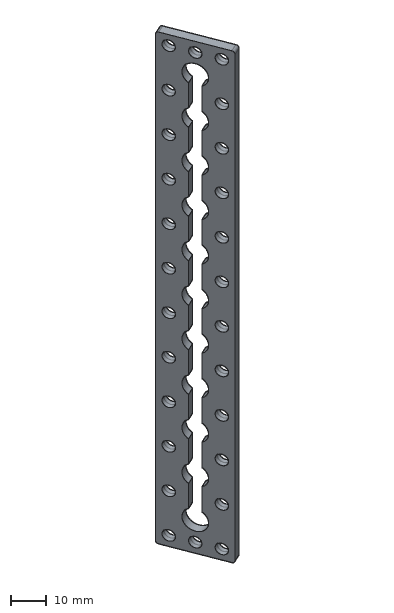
import cadquery as cq

pitch = 16.0
rows = 12
edge_margin = 4.0
thickness = 3.0
corner_radius = 1.0
small_hole_diameter = 4.0
large_hole_diameter = 8.0
slot_width = 4.0

width = pitch + 2 * edge_margin
length = (rows - 1) * pitch + 2 * edge_margin
large_holes = rows - 1
row_heights = [(i - (rows - 1) / 2) * pitch for i in range(rows)]
large_hole_span = (large_holes - 1) * pitch
keyhole_heights = [z + pitch / 2 for z in row_heights[:-1]]


def make_plate():
    """Flat upright plate, centred on the origin, with rounded corners."""
    plate = cq.Workplane("XY").box(width, thickness, length)
    return plate.edges("|Y").fillet(corner_radius)


def drill_through(points, diameter):
    """Cylinders along Y at the given (x, z) points, spanning the thickness."""
    plane = cq.Workplane("XZ").pushPoints(points)
    return plane.circle(diameter / 2).extrude(thickness, both=True)


def small_hole_points():
    """Two side columns, plus a centre hole in the first and last rows."""
    side_columns = [(x, z) for x in (-pitch / 2, pitch / 2) for z in row_heights]
    end_centres = [(0, row_heights[0]), (0, row_heights[-1])]
    return side_columns + end_centres


def make_keyhole_chain():
    """Row of large holes joined by a narrow slot along the plate centre."""
    holes = drill_through([(0, z) for z in keyhole_heights], large_hole_diameter)
    slot = cq.Workplane("XY").box(slot_width, 2 * thickness, large_hole_span)
    return holes.union(slot)


result = (
    make_plate()
    .cut(drill_through(small_hole_points(), small_hole_diameter))
    .cut(make_keyhole_chain())
)